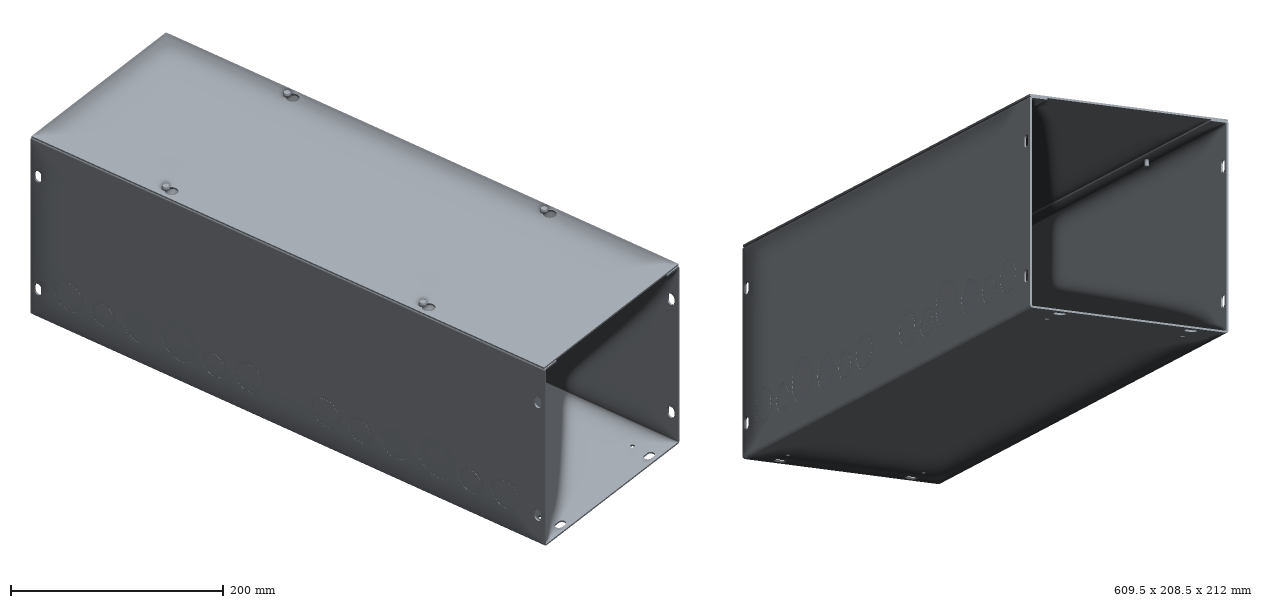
import cadquery as cq

length = 609.5
width = 208.5
height = 208.5
sheet = 1.9
wall_outer = width / 2
lid_length = 608.0

flange_width = 18.0
housing_height = height - sheet
bend_inner_radius = 0.5
bend_outer_radius = bend_inner_radius + sheet

slot_width = 8.0
slot_length = 13.0
slot_x = 296.0
wall_slot_heights = (33.0, 164.5)
floor_slot_y = 69.0

floor_hole_diameter = 4.6
floor_hole_x = 274.5
floor_hole_y = 71.5

mark_depth = 0.1
knockout_bottom = 24.5
small_knockout = (28.5, 22.0)
medium_knockout = (35.0, 28.5)
plain_medium_diameter = 35.0
large_diameter = 44.5
group_centers = (-length / 4, length / 4)
medium_offset = 106.5
small_offset = 66.0
plain_medium_offset = -24.5
large_offset = 25.0

screw_x = length / 4
screw_y = 94.0
shank_diameter = 4.6
shank_length = 10.5
tip_diameter = 4.1
head_diameter = 8.0
head_height = 3.5
head_top_diameter = 6.0
head_taper_height = 2.0
keyhole_diameter = 13.0
keyhole_offset = 7.0
screw_points = [(x, y) for x in (-screw_x, screw_x) for y in (-screw_y, screw_y)]


def wall_disc(diameter, x, z):
    """Disc along Y, sunk by the mark depth into the outside of the -Y wall."""
    plane = cq.Workplane("XZ", origin=(x, -wall_outer, z))
    return plane.circle(diameter / 2).extrude(-mark_depth)


def plain_knockout(diameter, x):
    center_z = knockout_bottom + diameter / 2
    return wall_disc(diameter, x, center_z)


def double_knockout(diameters, x):
    """Ring-shaped mark between two concentric circles."""
    outer, inner = diameters
    center_z = knockout_bottom + outer / 2
    ring = wall_disc(outer, x, center_z)
    return ring.cut(wall_disc(inner, x, center_z))


def knockout_marks():
    marks = []
    for center in group_centers:
        for side in (-1, 1):
            marks.append(double_knockout(medium_knockout, center + side * medium_offset))
            marks.append(double_knockout(small_knockout, center + side * small_offset))
        marks.append(plain_knockout(plain_medium_diameter, center + plain_medium_offset))
        marks.append(plain_knockout(large_diameter, center + large_offset))
    return marks


def flat_box(size_x, size_y, size_z, bottom):
    """Box centered in X and Y that stands on the height `bottom`."""
    plane = cq.Workplane("XY", origin=(0, 0, bottom))
    return plane.box(size_x, size_y, size_z, centered=(True, True, False))


def folded_sheet():
    outer = flat_box(length, width, housing_height, 0).edges("|X").fillet(bend_outer_radius)
    inside = flat_box(length, width - 2 * sheet, housing_height - 2 * sheet, sheet)
    inside = inside.edges("|X").fillet(bend_inner_radius)
    opening = flat_box(length, width - 2 * flange_width, sheet, housing_height - sheet)
    return outer.cut(inside).cut(opening)


def wall_slots():
    points = [(x, z) for x in (-slot_x, slot_x) for z in wall_slot_heights]
    plane = cq.Workplane("XZ").pushPoints(points)
    return plane.slot2D(slot_length, slot_width, 90).extrude(width, both=True)


def floor_slots():
    points = [(x, y) for x in (-slot_x, slot_x) for y in (-floor_slot_y, floor_slot_y)]
    plane = cq.Workplane("XY").pushPoints(points)
    return plane.slot2D(slot_length, slot_width, 90).extrude(sheet)


def floor_holes():
    points = [(x, y) for x in (-floor_hole_x, floor_hole_x) for y in (-floor_hole_y, floor_hole_y)]
    return cq.Workplane("XY").pushPoints(points).circle(floor_hole_diameter / 2).extrude(sheet)


def flange_holes():
    plane = cq.Workplane("XY", origin=(0, 0, housing_height - sheet)).pushPoints(screw_points)
    return plane.circle(shank_diameter / 2).extrude(sheet)


def make_housing():
    housing = folded_sheet()
    for cutout in (wall_slots(), floor_slots(), floor_holes(), flange_holes()):
        housing = housing.cut(cutout)
    for mark in knockout_marks():
        housing = housing.cut(mark).cut(mark.mirror("XZ"))
    return housing


def make_lid():
    lid = flat_box(lid_length, width, sheet, housing_height)
    for x, y in screw_points:
        plane = cq.Workplane("XY", origin=(x, y, housing_height))
        narrow_end = plane.circle(shank_diameter / 2).extrude(sheet)
        neck = plane.center(keyhole_offset / 2, 0).rect(keyhole_offset, shank_diameter).extrude(sheet)
        wide_end = plane.center(keyhole_offset, 0).circle(keyhole_diameter / 2).extrude(sheet)
        lid = lid.cut(narrow_end).cut(neck).cut(wide_end)
    return lid


def make_screw(x, y):
    """Tapered head on top of the lid and a plain shank with a beveled tip, as one turned profile."""
    shank_radius = shank_diameter / 2
    tip_radius = tip_diameter / 2
    tip_bevel = shank_radius - tip_radius
    profile = [
        (0, -shank_length),
        (tip_radius, -shank_length),
        (shank_radius, tip_bevel - shank_length),
        (shank_radius, 0),
        (head_diameter / 2, 0),
        (head_diameter / 2, head_height - head_taper_height),
        (head_top_diameter / 2, head_height),
        (0, head_height),
    ]
    turned = cq.Workplane("XZ").polyline(profile).close().revolve(360, (0, 0, 0), (0, 1, 0))
    return turned.translate((x, y, height))


housing = make_housing()
lid = make_lid()
screws = [make_screw(x, y) for x, y in screw_points]

result = cq.Compound.makeCompound([housing.val(), lid.val(), *[screw.val() for screw in screws]])